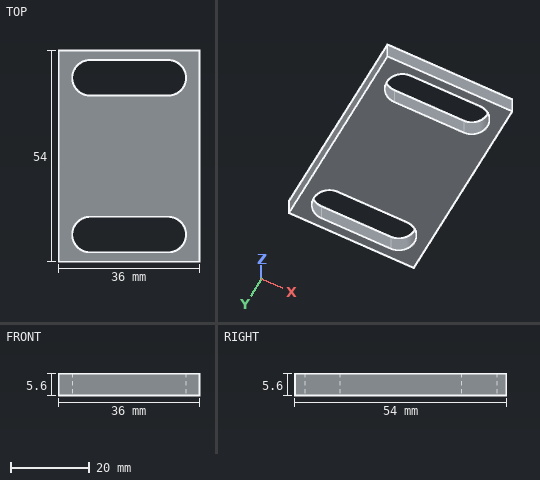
import cadquery as cq

plate_width = 36.0
plate_length = 54.0
plate_thickness = 5.6

slot_length = 29.0
slot_width = 9.0
slot_spacing = 40.0

plate = cq.Workplane("XY").box(plate_width, plate_length, plate_thickness)

result = (
    plate.faces(">Z")
    .workplane()
    .pushPoints([(0, -slot_spacing / 2), (0, slot_spacing / 2)])
    .slot2D(slot_length, slot_width)
    .cutThruAll()
)